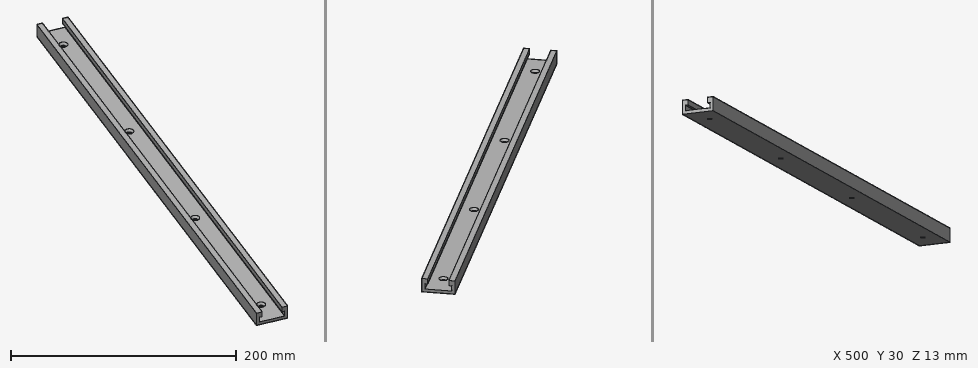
import cadquery as cq

length = 500.0
width = 30.0
height = 13.0

wall = 3.0
floor_thickness = 3.0
lip_width = 5.5
lip_underside = 8.0
slot_width = width - 2 * lip_width
cavity_width = width - 2 * wall

hole_count = 4
hole_pitch = 150.0
hole_diameter = 4.0
countersink_diameter = 8.0
countersink_angle = 90.0


def channel():
    """Channel along X with a wide cavity below two inward lips."""
    body = cq.Workplane("XY").box(length, width, height, centered=(True, True, False))
    cavity = (
        cq.Workplane("XY", origin=(0, 0, floor_thickness))
        .box(length, cavity_width, lip_underside - floor_thickness, centered=(True, True, False))
    )
    slot = (
        cq.Workplane("XY", origin=(0, 0, floor_thickness))
        .box(length, slot_width, height - floor_thickness, centered=(True, True, False))
    )
    return body.cut(cavity).cut(slot)


def drill_mounting_holes(body):
    """Row of evenly spaced holes, countersunk from the channel floor."""
    return (
        body.copyWorkplane(cq.Workplane("XY", origin=(0, 0, floor_thickness)))
        .rarray(hole_pitch, 5, hole_count, 1)
        .cskHole(hole_diameter, countersink_diameter, countersink_angle, depth=floor_thickness)
    )


result = drill_mounting_holes(channel())